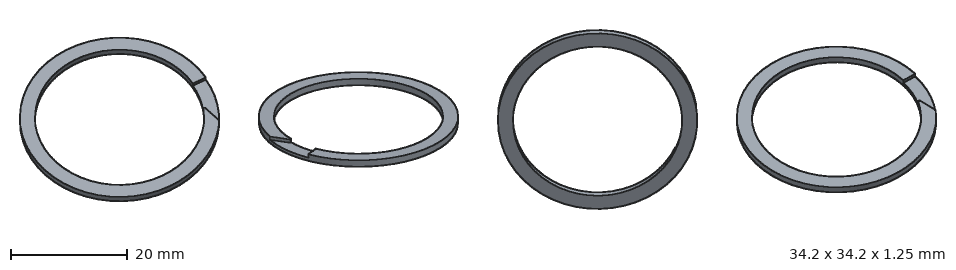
import cadquery as cq
import math

outer_diameter = 34.2
inner_diameter = 29.0
thickness = 1.25
outer_radius = outer_diameter / 2
inner_radius = inner_diameter / 2

gap_depth = thickness / 2
slant_outer_x = 9.13
slant_inner_x = 5.57
slant_inner_y = 13.7
overshoot = 1.7


def make_ring():
    return cq.Workplane("XY").circle(outer_radius).circle(inner_radius).extrude(thickness)


def make_gap_cutter():
    slant_outer_y = math.sqrt(outer_radius**2 - slant_outer_x**2)
    tip_radius = math.hypot(slant_inner_x, slant_inner_y)
    bore_scale = (inner_radius - overshoot) / tip_radius
    slant_slope = (slant_outer_y - slant_inner_y) / (slant_outer_x - slant_inner_x)
    return (
        cq.Workplane("XY", origin=(0, 0, thickness - gap_depth))
        .moveTo(0, inner_radius - overshoot)
        .lineTo(slant_inner_x * bore_scale, slant_inner_y * bore_scale)
        .lineTo(slant_inner_x, slant_inner_y)
        .lineTo(slant_outer_x + overshoot, slant_outer_y + overshoot * slant_slope)
        .lineTo(slant_outer_x + overshoot, outer_radius + overshoot)
        .lineTo(0, outer_radius + overshoot)
        .close()
        .extrude(gap_depth)
    )


result = make_ring().cut(make_gap_cutter())